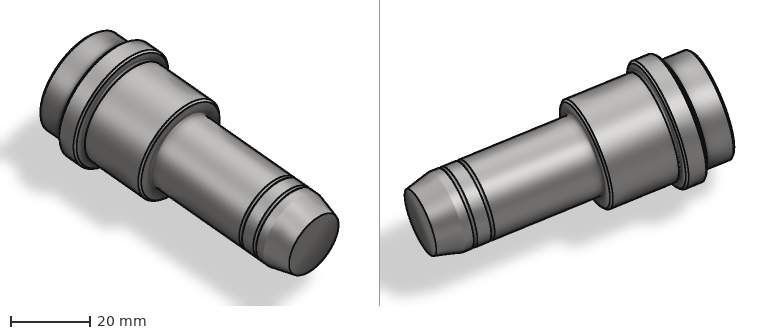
import cadquery as cq
import math

body_diameter = 30.0
collar_diameter = 35.0
pin_diameter = 22.0

collar_start = 8.9
collar_end = 14.9
shoulder_x = 34.9
taper_start = 73.95
total_length = 81.0

edge_chamfer = 0.6
shoulder_fillet = 0.5
taper_angle = 15.0

groove_radius = 0.5
body_groove_centers = [collar_start - groove_radius, collar_end + groove_radius]
pin_groove_centers = [66.0, 70.9]


def cylinder(diameter, start, end):
    """Solid cylinder around X between two stations."""
    return cq.Workplane("YZ", origin=(start, 0, 0)).circle(diameter / 2).extrude(end - start)


def groove_ring(diameter, center_x):
    """Ring of round section, centred on a cylinder's surface."""
    ring = cq.Solid.makeTorus(diameter / 2, groove_radius, cq.Vector(center_x, 0, 0), cq.Vector(1, 0, 0))
    return cq.Workplane(obj=ring)


def tapered_pin():
    """Pin with a conical lead-in at its free end."""
    pin_radius = pin_diameter / 2
    tip_radius = pin_radius - (total_length - taper_start) * math.tan(math.radians(taper_angle))
    return (
        cq.Workplane("XY")
        .moveTo(shoulder_x, 0)
        .lineTo(shoulder_x, pin_radius + shoulder_fillet)
        .radiusArc((shoulder_x + shoulder_fillet, pin_radius), -shoulder_fillet)
        .lineTo(taper_start, pin_radius)
        .lineTo(total_length, tip_radius)
        .lineTo(total_length, 0)
        .close()
        .revolve(360, (0, 0, 0), (1, 0, 0))
    )


body = cylinder(body_diameter, 0, shoulder_x).edges().chamfer(edge_chamfer)
collar = cylinder(collar_diameter, collar_start, collar_end).edges().chamfer(edge_chamfer)

for groove_center in body_groove_centers:
    body = body.cut(groove_ring(body_diameter, groove_center))

pin = tapered_pin()
for groove_center in pin_groove_centers:
    pin = pin.cut(groove_ring(pin_diameter, groove_center))

result = body.union(collar).union(pin)